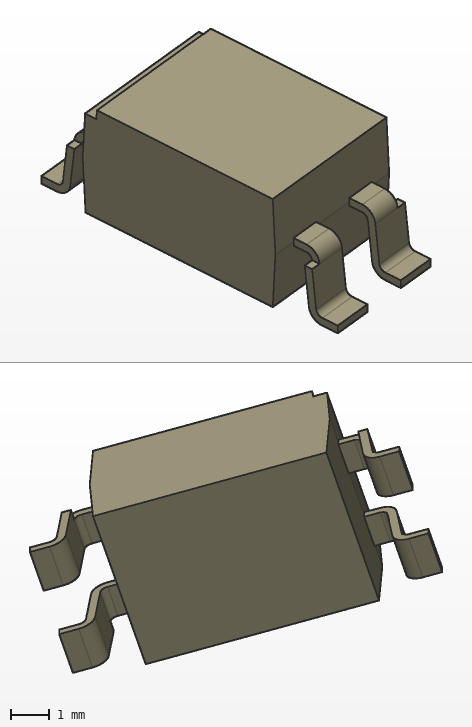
import cadquery as cq
import math

total_length = 10.0
body_width = 4.58
body_height = 3.5
standoff = 0.2

parting_length = 6.5
end_length = 6.32
top_z = standoff + body_height
parting_z = standoff + body_height / 2

step_depth = 0.3
step_floor_x = -2.8
step_top_x = -2.77

lead_thickness = 0.25
lead_pitch = 2.54
foot_width = 1.2
neck_width = 0.9
inner_radius = 0.2
outer_radius = inner_radius + lead_thickness
root_gap = 0.01
leg_angle = math.radians(6.2)
upper_bend_x = 3.69
shoulder_z = 1.66


def make_housing():
    top_half = end_length / 2
    parting_half = parting_length / 2
    step_z = top_z - step_depth
    taper = (parting_half - top_half) / (body_height / 2)
    step_outer_x = top_half + taper * step_depth
    outline = [
        (-top_half, standoff),
        (top_half, standoff),
        (parting_half, parting_z),
        (top_half, top_z),
        (step_top_x, top_z),
        (step_floor_x, step_z),
        (-step_outer_x, step_z),
        (-parting_half, parting_z),
    ]
    return cq.Workplane("XZ").polyline(outline).close().extrude(body_width / 2, both=True)


def arc_point(center, radius, angle):
    return (center[0] + radius * math.cos(angle), center[1] + radius * math.sin(angle))


def make_lead():
    """Lead on the +X end and +Y side, ending flat just clear of the housing."""
    lead_top = parting_z + lead_thickness / 2
    lead_bottom = lead_top - lead_thickness
    upper = (upper_bend_x, lead_top - outer_radius)
    bend_drop = upper[1] - outer_radius
    radii = inner_radius + outer_radius
    bend_offset = (radii + bend_drop * math.sin(leg_angle)) / math.cos(leg_angle)
    lower = (upper_bend_x + bend_offset, outer_radius)

    leg_side = leg_angle
    upper_middle = (math.pi / 2 + leg_side) / 2
    lower_middle = upper_middle + math.pi
    foot_side = leg_side + math.pi
    root_x = parting_length / 2 + root_gap
    tip_x = total_length / 2

    profile = (
        cq.Workplane("XZ")
        .moveTo(root_x, lead_top)
        .lineTo(upper[0], lead_top)
        .threePointArc(arc_point(upper, outer_radius, upper_middle), arc_point(upper, outer_radius, leg_side))
        .lineTo(*arc_point(lower, inner_radius, foot_side))
        .threePointArc(arc_point(lower, inner_radius, lower_middle), (lower[0], lead_thickness))
        .lineTo(tip_x, lead_thickness)
        .lineTo(tip_x, 0)
        .lineTo(lower[0], 0)
        .threePointArc(arc_point(lower, outer_radius, lower_middle), arc_point(lower, outer_radius, foot_side))
        .lineTo(*arc_point(upper, inner_radius, leg_side))
        .threePointArc(arc_point(upper, inner_radius, upper_middle), (upper[0], lead_bottom))
        .lineTo(root_x, lead_bottom)
        .close()
    )
    inner_y = (lead_pitch - foot_width) / 2
    lead = profile.extrude(-foot_width).translate((0, inner_y, 0))

    shoulder_cut = cq.Workplane("XY").box(
        total_length, foot_width - neck_width, top_z, centered=(True, False, False)
    )
    return lead.cut(shoulder_cut.translate((0, inner_y + neck_width, shoulder_z)))


housing = make_housing()
leads = []
for end_plane in (None, "YZ"):
    for side_plane in (None, "XZ"):
        lead = make_lead()
        if end_plane:
            lead = lead.mirror(end_plane)
        if side_plane:
            lead = lead.mirror(side_plane)
        leads.append(lead.val())

result = cq.Compound.makeCompound([housing.val(), *leads])